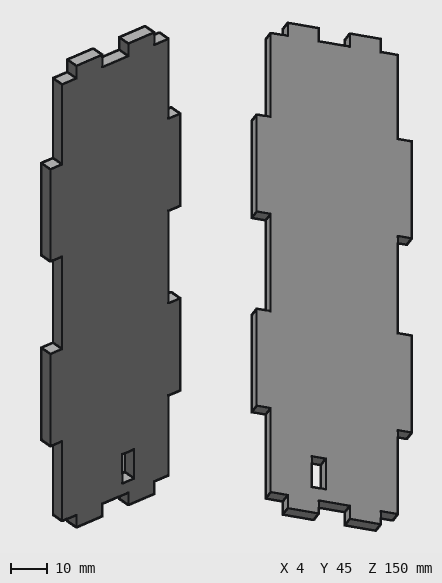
import cadquery as cq

thickness = 4.0
width = 45.0
height = 150.0

tab_depth = thickness
side_tab_length = height / 5
end_tab_width = width / 5

slot_width = 4.0
slot_height = 9.5
slot_center_y = 4.5
slot_center_z = -62.4


def block(size_y, size_z, center_y=0, center_z=0):
    """Full-thickness rectangular block centred on the YZ plane."""
    return cq.Workplane("XY").box(thickness, size_y, size_z).translate((0, center_y, center_z))


result = block(width - 2 * tab_depth, height - 2 * tab_depth)

for side in (-1, 1):
    side_tabs = block(width, side_tab_length, center_z=side * side_tab_length)
    end_tabs = block(end_tab_width, height, center_y=side * end_tab_width)
    result = result.union(side_tabs).union(end_tabs)

result = result.cut(block(slot_width, slot_height, slot_center_y, slot_center_z)).clean()